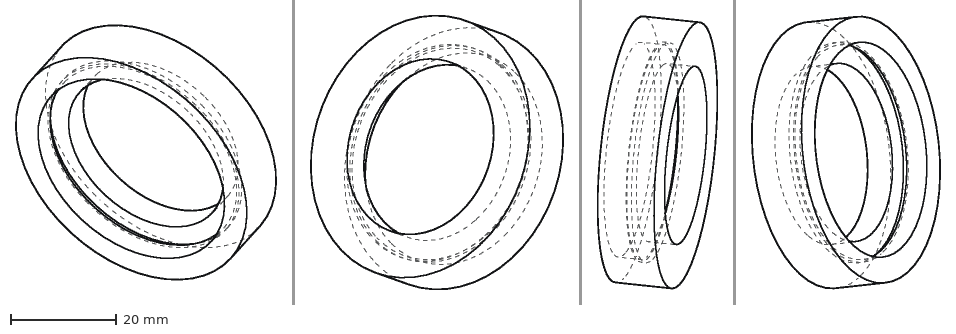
import cadquery as cq

outer_diameter = 50.8
width = 11.0
bore_diameter = 34.0
recess_diameter = 41.0
recess_depth = 5.5

groove_diameter = 42.0
groove_width = 1.0

front_y = -width / 2


def disc(diameter, start_y, length):
    """Solid cylinder along +Y, starting at start_y."""
    return cq.Workplane(
        cq.Solid.makeCylinder(diameter / 2, length, cq.Vector(0, start_y, 0), cq.Vector(0, 1, 0))
    )


body = disc(outer_diameter, front_y, width)
bore = disc(bore_diameter, front_y, width)
recess = disc(recess_diameter, front_y, recess_depth)
groove = disc(groove_diameter, front_y + recess_depth - groove_width, groove_width)

result = body.cut(bore).cut(recess).cut(groove)